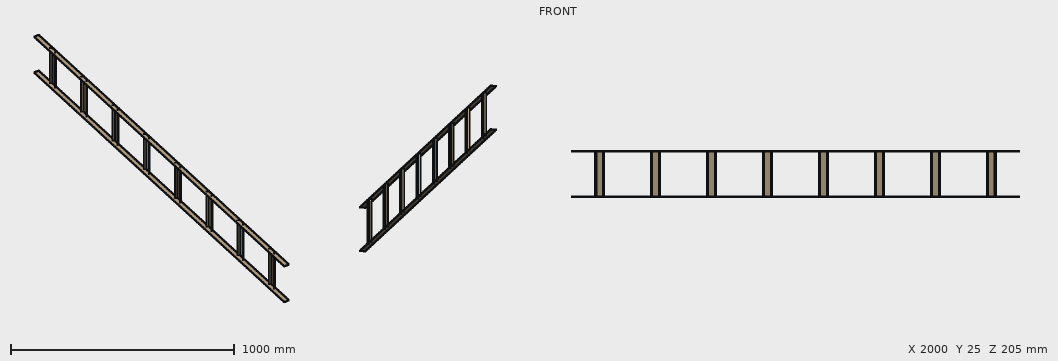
import cadquery as cq
import math

LENGTH = 2000.0
HEIGHT = 205.0

RUNG_COUNT = 8
RUNG_PITCH = LENGTH / RUNG_COUNT
RUNG_DEPTH = 10.5
SHEET_THICKNESS = 1.5
MOUTH_INNER_HALF_WIDTH = 19.5
WALL_SLOPE = 2 / 3

RAIL_THICKNESS = 3.0
RAIL_FRONT_PROJECTION = 14.5
RAIL_WIDTH = RUNG_DEPTH + RAIL_FRONT_PROJECTION

RUNG_LENGTH = HEIGHT - 2 * RAIL_THICKNESS
BACK_Y = RAIL_WIDTH / 2
FLOOR_Y = BACK_Y - SHEET_THICKNESS
MOUTH_Y = BACK_Y - RUNG_DEPTH

WALL_THICKNESS_X = SHEET_THICKNESS * math.hypot(1, WALL_SLOPE)
FLOOR_HALF_WIDTH = MOUTH_INNER_HALF_WIDTH - WALL_SLOPE * (FLOOR_Y - MOUTH_Y)
MOUTH_OUTER_HALF_WIDTH = MOUTH_INNER_HALF_WIDTH + WALL_THICKNESS_X
BACK_HALF_WIDTH = MOUTH_OUTER_HALF_WIDTH - WALL_SLOPE * RUNG_DEPTH


def make_rail(bottom_z):
    """Flat bar running the full length, with its underside at bottom_z."""
    return (
        cq.Workplane("XY", origin=(0, 0, bottom_z))
        .rect(LENGTH, RAIL_WIDTH)
        .extrude(RAIL_THICKNESS)
    )


def make_rung(center_x):
    """Flared channel spanning the gap between the rails, centred on center_x."""
    half_section = [
        (BACK_HALF_WIDTH, BACK_Y),
        (MOUTH_OUTER_HALF_WIDTH, MOUTH_Y),
        (MOUTH_INNER_HALF_WIDTH, MOUTH_Y),
        (FLOOR_HALF_WIDTH, FLOOR_Y),
    ]
    mirrored_half = [(-x, y) for x, y in reversed(half_section)]
    return (
        cq.Workplane("XY", origin=(center_x, 0, -RUNG_LENGTH / 2))
        .polyline(half_section + mirrored_half)
        .close()
        .extrude(RUNG_LENGTH)
    )


lower_rail = make_rail(-HEIGHT / 2)
upper_rail = make_rail(RUNG_LENGTH / 2)

first_rung_x = -RUNG_PITCH * (RUNG_COUNT - 1) / 2
rungs = [make_rung(first_rung_x + i * RUNG_PITCH) for i in range(RUNG_COUNT)]

result = cq.Compound.makeCompound(
    [lower_rail.val(), upper_rail.val(), *[rung.val() for rung in rungs]]
)